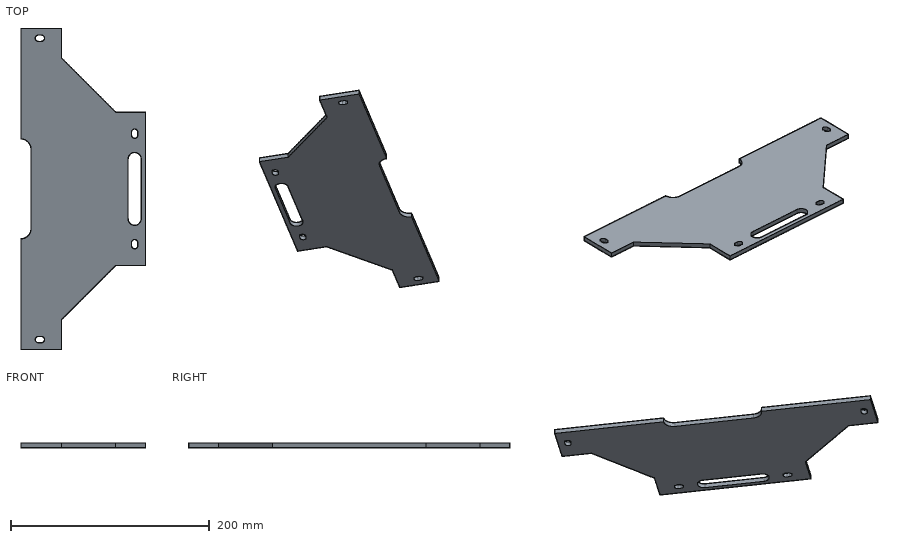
import cadquery as cq

length = 323.5
width = 125.5
thickness = 5.0
arm_width = 41.0
arm_end_length = 30.0
tab_length = 154.7
tab_depth = 30.0

recess_length = 100.3
recess_depth = 10.0

slot_length = 9.0
slot_width = 6.0
arm_slot_x = 19.0
arm_slot_end_distance = 10.0
tab_slot_edge_distance = 11.0
tab_slot_spacing = 111.3

opening_length = 73.0
opening_width = 13.0

half_length = length / 2
half_tab = tab_length / 2
slope_start_y = half_length - arm_end_length
slope_end_x = width - tab_depth
tab_slot_x = width - tab_slot_edge_distance


def make_plate():
    return (
        cq.Workplane("XY")
        .polyline([
            (0, -half_length),
            (arm_width, -half_length),
            (arm_width, -slope_start_y),
            (slope_end_x, -half_tab),
            (width, -half_tab),
            (width, half_tab),
            (slope_end_x, half_tab),
            (arm_width, slope_start_y),
            (arm_width, half_length),
            (0, half_length),
        ])
        .close()
        .extrude(thickness)
    )


def make_recess():
    return (
        cq.Workplane("XY")
        .rect(2 * recess_depth, recess_length)
        .extrude(thickness)
        .edges("|Z and >X")
        .fillet(recess_depth)
    )


def make_slots(points, slot_size, slot_breadth, angle):
    return (
        cq.Workplane("XY")
        .pushPoints(points)
        .slot2D(slot_size, slot_breadth, angle)
        .extrude(thickness)
    )


arm_slot_y = half_length - arm_slot_end_distance
arm_slot_points = [(arm_slot_x, side * arm_slot_y) for side in (-1, 1)]
tab_slot_points = [(tab_slot_x, side * tab_slot_spacing / 2) for side in (-1, 1)]

result = (
    make_plate()
    .cut(make_recess())
    .cut(make_slots(arm_slot_points, slot_length, slot_width, 0))
    .cut(make_slots(tab_slot_points, slot_length, slot_width, 90))
    .cut(make_slots([(tab_slot_x, 0)], opening_length, opening_width, 90))
)